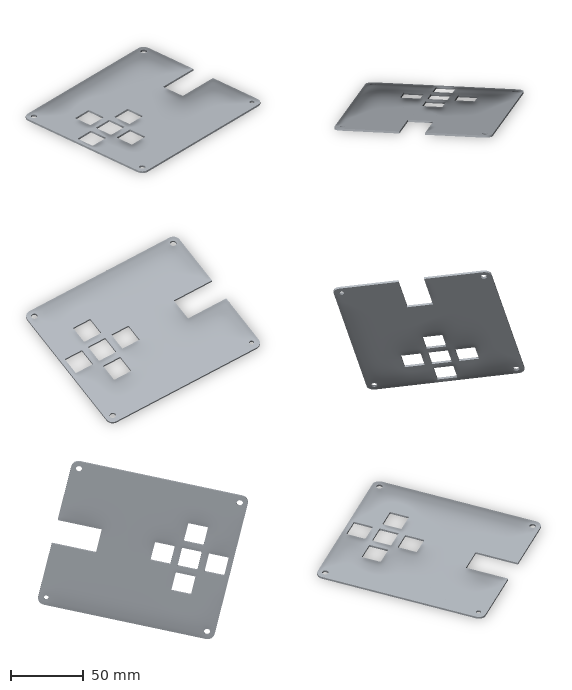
import cadquery as cq

plate_width = 110.5
plate_length = 124.4
plate_thickness = 1.5
corner_radius = 5.0

hole_inset = 5.5
hole_diameter = 4.4
small_hole_diameter = 3.4

notch_width = 18.0
notch_depth = 31.2

key_size = 14.0
key_corner_radius = 0.5
key_pitch = 19.0
key_cross_x = -1.0
key_cross_y = -32.7


def through_holes(points, diameter):
    """Cylinders that cut round holes through the plate."""
    return cq.Workplane("XY").pushPoints(points).circle(diameter / 2).extrude(plate_thickness)


plate = (
    cq.Workplane("XY")
    .rect(plate_width, plate_length)
    .extrude(plate_thickness)
    .edges("|Z")
    .fillet(corner_radius)
)

hole_x = plate_width / 2 - hole_inset
hole_y = plate_length / 2 - hole_inset
large_hole_points = [(-hole_x, hole_y), (-hole_x, -hole_y), (hole_x, -hole_y)]
large_holes = through_holes(large_hole_points, hole_diameter)
small_hole = through_holes([(hole_x, hole_y)], small_hole_diameter)

notch = (
    cq.Workplane("XY")
    .center(0, plate_length / 2 - notch_depth / 2)
    .rect(notch_width, notch_depth)
    .extrude(plate_thickness)
)

key_steps = [(0, 0), (1, 0), (-1, 0), (0, 1), (0, -1)]
key_points = [(step_x * key_pitch, step_y * key_pitch) for step_x, step_y in key_steps]
key_openings = (
    cq.Workplane("XY")
    .center(key_cross_x, key_cross_y)
    .pushPoints(key_points)
    .rect(key_size, key_size)
    .extrude(plate_thickness)
    .edges("|Z")
    .fillet(key_corner_radius)
)

result = plate.cut(large_holes).cut(small_hole).cut(notch).cut(key_openings)